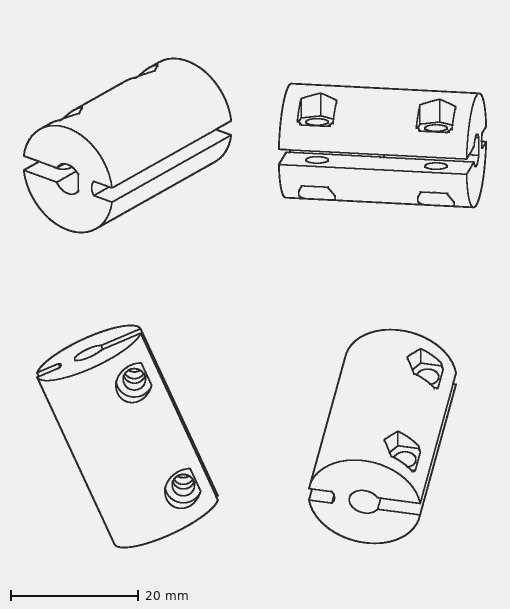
import cadquery as cq
import math

body_diameter = 18.0
body_length = 30.0
half_length = body_length / 2

d_bore_diameter = 5.1
round_bore_diameter = 4.9
bore_flat_x = 2.1

slot_width = 2.5
relief_bottom_x = 4.8
relief_end_radius = 2.0

screw_x = -5.4
screw_spacing = 19.0
screw_hole_diameter = 3.5
screw_head_diameter = 5.8
nut_across_flats = 5.7
seat_height = 5.0


def cylinder_along_y(diameter, y_start, y_end):
    """Cylinder on the coupler axis between two Y positions."""
    start_plane = cq.Workplane("XZ", origin=(0, y_start, 0))
    return start_plane.circle(diameter / 2).extrude(y_start - y_end)


def box_between(x_start, x_end, width):
    """Full-length box between two X positions, centred on Z = 0."""
    centre_x = (x_start + x_end) / 2
    box = cq.Workplane("XY").box(x_end - x_start, body_length, width)
    return box.translate((centre_x, 0, 0))


def make_bores():
    """Round bore on the +Y half and D-bore on the -Y half."""
    round_bore = cylinder_along_y(round_bore_diameter, 0, half_length)
    d_bore = cylinder_along_y(d_bore_diameter, -half_length, 0)
    flat_side = box_between(bore_flat_x, d_bore_diameter, d_bore_diameter)
    return round_bore.union(d_bore.cut(flat_side))


def make_relief_slot():
    """Slot open to +X whose bottom is a shallow arc."""
    half_width = slot_width / 2
    arc_depth = relief_end_radius - math.sqrt(relief_end_radius**2 - half_width**2)
    wall_x = relief_bottom_x + arc_depth
    return (
        cq.Workplane("XZ", origin=(0, half_length, 0))
        .moveTo(body_diameter, half_width)
        .lineTo(wall_x, half_width)
        .threePointArc((relief_bottom_x, 0), (wall_x, -half_width))
        .lineTo(body_diameter, -half_width)
        .close()
        .extrude(body_length)
    )


def make_screw_cut(screw_y):
    """Through hole with a hexagonal nut pocket above and a round head pocket below."""
    pocket_depth = body_diameter / 2 - seat_height
    nut_across_corners = nut_across_flats * 2 / math.sqrt(3)
    hole = (
        cq.Workplane("XY", origin=(screw_x, screw_y, -body_diameter / 2))
        .circle(screw_hole_diameter / 2)
        .extrude(body_diameter)
    )
    nut_pocket = (
        cq.Workplane("XY", origin=(screw_x, screw_y, seat_height))
        .polygon(6, nut_across_corners)
        .extrude(pocket_depth)
    )
    head_pocket = (
        cq.Workplane("XY", origin=(screw_x, screw_y, -seat_height))
        .circle(screw_head_diameter / 2)
        .extrude(-pocket_depth)
    )
    return hole.union(nut_pocket).union(head_pocket)


clamp_slit = box_between(-body_diameter, 0, slot_width)

result = cylinder_along_y(body_diameter, -half_length, half_length)
result = result.cut(make_bores())
result = result.cut(clamp_slit)
result = result.cut(make_relief_slot())
for screw_y in (-screw_spacing / 2, screw_spacing / 2):
    result = result.cut(make_screw_cut(screw_y))